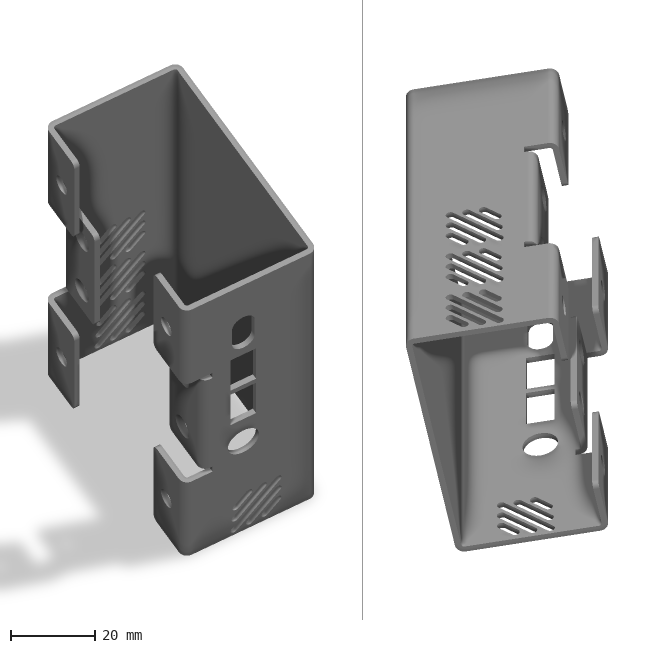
import cadquery as cq
import math

WIDTH = 65.0
DEPTH = 37.0
HEIGHT = 97.0
SHEET = 1.5
BEND_INNER = 0.75
BEND_OUTER = BEND_INNER + SHEET
SIDE_X = WIDTH / 2
BACK_Y = DEPTH

FLANGE_REACH = 14.0
FLANGE_HEIGHT = 29.0
FLANGE_CORNER = 1.5
FLANGE_HOLE = 5.0
FLANGE_HOLE_X = 24.4

TAB_REACH = 15.0
TAB_HEIGHT = 35.0
TAB_SETBACK = 5.0
TAB_CORNER = 1.5
TAB_HOLE = 3.4
TAB_SINK = 6.3
TAB_SINK_ANGLE = 90.0
TAB_HOLE_X = 23.5
TAB_HOLE_SPACING = 20.0

NOTCH_DEPTH = 8.0
NOTCH_HEIGHT = (HEIGHT - TAB_HEIGHT - 2 * FLANGE_HEIGHT) / 2

CUT_LENGTH = 2 * SHEET
LEFT_CUT_X = -SIDE_X - SHEET / 2
RIGHT_CUT_X = SIDE_X - 1.5 * SHEET

SLOT_WIDTH = 2.0
SLOT_PITCH = 4.0
SLOT_ANGLE = 45.0
SLOT_CENTRE_LENGTHS = (17.0, 11.0, 5.0)
VENT_Y = BACK_Y - 11.0
VENT_Z = 14.0
VENT_SPACING = 16.0
VENT_GROUPS = 3

PORT_Y = BACK_Y - 20.5
PORT_HEIGHT = 12.0
ROUND_PORT_DIAMETER = 8.6
ROUND_PORT_Z = 35.2
SQUARE_PORT_WIDTH = 7.0
SQUARE_PORT_Z = (50.0, 63.6)
ROUNDED_PORT_WIDTH = 6.2
ROUNDED_PORT_CORNER = 3.0
ROUNDED_PORT_Z = 78.3


def box(x_range, y_range, z_range):
    """Axis-aligned block between the given limits."""
    size = [high - low for low, high in (x_range, y_range, z_range)]
    corner = (x_range[0], y_range[0], z_range[0])
    return cq.Workplane("XY").box(*size, centered=False).translate(corner)


def make_shell():
    """Closed bent tube, opened at the front between the outer flanges."""
    middle = (0, DEPTH / 2)
    outside = cq.Workplane("XY").center(*middle).rect(WIDTH, DEPTH).extrude(HEIGHT)
    outside = outside.edges("|Z").fillet(BEND_OUTER)
    inside = cq.Workplane("XY").center(*middle).rect(WIDTH - 2 * SHEET, DEPTH - 2 * SHEET).extrude(HEIGHT)
    inside = inside.edges("|Z").fillet(BEND_INNER)
    gap_x = SIDE_X - FLANGE_REACH
    front_gap = box((-gap_x, gap_x), (0, DEPTH / 2), (0, HEIGHT))
    return outside.cut(inside).cut(front_gap)


def make_tab_window():
    """Front space of the tabs and notches, removed across both sides."""
    window_height = TAB_HEIGHT + 2 * NOTCH_HEIGHT
    z_range = (FLANGE_HEIGHT, FLANGE_HEIGHT + window_height)
    return box((-SIDE_X, SIDE_X), (0, NOTCH_DEPTH), z_range)


def round_flange_corners(shell):
    """Round the corners at the free edges of the four flanges."""
    gap_x = SIDE_X - FLANGE_REACH
    near_edges = cq.selectors.BoxSelector(
        (-gap_x - SHEET, -SHEET, -SHEET), (gap_x + SHEET, 2 * SHEET, HEIGHT + SHEET)
    )
    return shell.edges("|Y").edges(near_edges).fillet(FLANGE_CORNER)


def make_right_tab():
    """Bent tab on the +X side with two countersunk holes."""
    front = TAB_SETBACK
    tab_back = front + SHEET
    inside_x = SIDE_X - SHEET
    tip_x = SIDE_X - TAB_REACH
    z_low = (HEIGHT - TAB_HEIGHT) / 2
    tab = (
        cq.Workplane("XY", origin=(0, 0, z_low))
        .moveTo(SIDE_X, NOTCH_DEPTH)
        .lineTo(SIDE_X, front + BEND_OUTER)
        .radiusArc((SIDE_X - BEND_OUTER, front), BEND_OUTER)
        .lineTo(tip_x, front)
        .lineTo(tip_x, tab_back)
        .lineTo(inside_x - BEND_INNER, tab_back)
        .radiusArc((inside_x, tab_back + BEND_INNER), -BEND_INNER)
        .lineTo(inside_x, NOTCH_DEPTH)
        .close()
        .extrude(TAB_HEIGHT)
    )
    tab = tab.edges("|Y").edges("<X").fillet(TAB_CORNER)
    half_spacing = TAB_HOLE_SPACING / 2
    centres = [(TAB_HOLE_X, HEIGHT / 2 + offset) for offset in (-half_spacing, half_spacing)]
    front_plane = cq.Workplane("XZ", origin=(0, front, 0))
    return tab.copyWorkplane(front_plane).pushPoints(centres).cskHole(TAB_HOLE, TAB_SINK, TAB_SINK_ANGLE)


def make_flange_holes():
    """Cutters for one plain hole in the middle of each flange height."""
    centres = [
        (side * FLANGE_HOLE_X, z)
        for side in (-1, 1)
        for z in (FLANGE_HEIGHT / 2, HEIGHT - FLANGE_HEIGHT / 2)
    ]
    return cq.Workplane("XZ").pushPoints(centres).circle(FLANGE_HOLE / 2).extrude(-2 * SHEET)


def make_slot(x_start, y, z, length):
    """Cutter for one slot that descends toward the front."""
    run = length / 2 * math.cos(math.radians(SLOT_ANGLE))
    return (
        cq.Workplane("YZ", origin=(x_start, y - run, z - run))
        .slot2D(length + SLOT_WIDTH, SLOT_WIDTH, SLOT_ANGLE)
        .extrude(CUT_LENGTH)
    )


def make_vent(x_start, top_z):
    """One group of slots, longest on the diagonal and shorter on both sides."""
    vent = cq.Workplane("XY")
    for row, length in enumerate(SLOT_CENTRE_LENGTHS):
        offset = row * SLOT_PITCH
        vent = vent.add(make_slot(x_start, VENT_Y - offset, top_z, length))
        if row > 0:
            vent = vent.add(make_slot(x_start, VENT_Y, top_z - offset, length))
    return vent.combine()


def make_ports():
    """Cutters for the connector openings in the +X wall."""
    wall = cq.Workplane("YZ", origin=(RIGHT_CUT_X, 0, 0))
    round_port = wall.center(PORT_Y, ROUND_PORT_Z).circle(ROUND_PORT_DIAMETER / 2).extrude(CUT_LENGTH)
    square_centres = [(PORT_Y, z) for z in SQUARE_PORT_Z]
    square_ports = wall.pushPoints(square_centres).rect(SQUARE_PORT_WIDTH, PORT_HEIGHT).extrude(CUT_LENGTH)
    rounded_port = wall.center(PORT_Y, ROUNDED_PORT_Z).rect(ROUNDED_PORT_WIDTH, PORT_HEIGHT)
    rounded_port = rounded_port.extrude(CUT_LENGTH).edges("|X").fillet(ROUNDED_PORT_CORNER)
    return [round_port, square_ports, rounded_port]


shell = round_flange_corners(make_shell().cut(make_tab_window()))
right_tab = make_right_tab()
result = shell.union(right_tab).union(right_tab.mirror("YZ")).cut(make_flange_holes())

for group in range(VENT_GROUPS):
    result = result.cut(make_vent(LEFT_CUT_X, VENT_Z + group * VENT_SPACING))
result = result.cut(make_vent(RIGHT_CUT_X, VENT_Z))

for port in make_ports():
    result = result.cut(port)